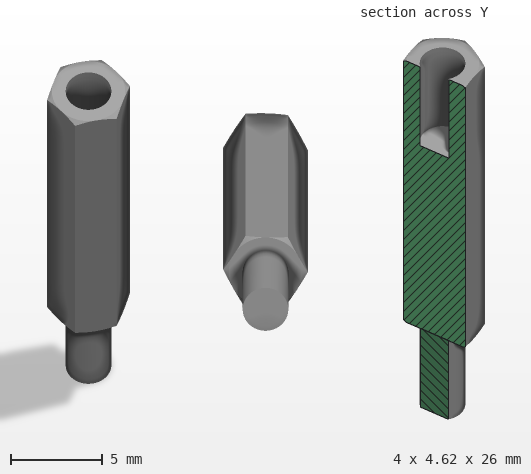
import cadquery as cq
import math

total_length = 26.0
stud_length = 6.0
across_flats = 4.0
thread_diameter = 2.5
chamfer_angle = 30.0

hex_length = total_length - stud_length
across_corners = across_flats / math.cos(math.radians(30))
flat_radius = across_flats / 2
corner_radius = across_corners / 2
chamfer_height = (corner_radius - flat_radius) * math.tan(math.radians(chamfer_angle))
bore_depth = stud_length


def make_chamfer_envelope():
    """Turned blank whose conical ends cut the corners of the hexagon."""
    return (
        cq.Workplane("XZ")
        .moveTo(0, 0)
        .lineTo(flat_radius, 0)
        .lineTo(corner_radius, chamfer_height)
        .lineTo(corner_radius, hex_length - chamfer_height)
        .lineTo(flat_radius, hex_length)
        .lineTo(0, hex_length)
        .close()
        .revolve(360, (0, 0, 0), (0, 1, 0))
    )


def make_hex_body():
    """Hexagonal spacer with corners on the Y axis and a blind bore from the top."""
    prism = (
        cq.Workplane("XY")
        .transformed(rotate=(0, 0, 90))
        .polygon(6, across_corners)
        .extrude(hex_length)
    )
    bore = (
        cq.Workplane("XY", origin=(0, 0, hex_length))
        .circle(thread_diameter / 2)
        .extrude(-bore_depth)
    )
    return prism.intersect(make_chamfer_envelope()).cut(bore)


def make_stud():
    """Plain round stud standing against the bottom face of the hexagon."""
    return cq.Workplane("XY").circle(thread_diameter / 2).extrude(-stud_length)


hex_body = make_hex_body()
stud = make_stud()

result = cq.Compound.makeCompound([hex_body.val(), stud.val()])